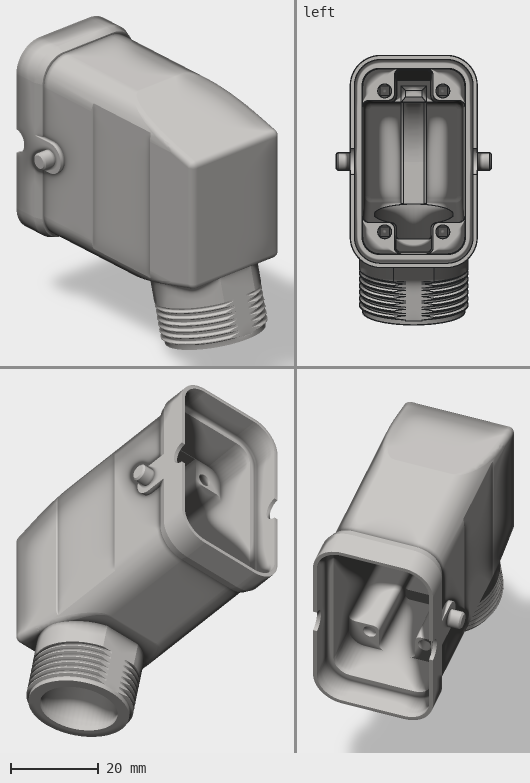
import cadquery as cq
import math


OVERLAP = 1.0

RIM_WIDTH = 29.0
RIM_HEIGHT = 48.35
RIM_CORNER = 7.0
RIM_STRAIGHT = 6.2
RIM_END = 8.2
RIM_TAPER = 0.75
RIM_WALL = 0.95
RIM_POCKET_DEPTH = 6.4
RIM_POCKET_FILLET = 0.4

BODY_WIDTH = 26.6
BODY_HEIGHT = 45.95
BODY_CORNER = 6.5
BODY_END = 59.5
SLOPE_START = 33.45
SLOPE_ANGLE = math.radians(15)
SLOPE = math.tan(SLOPE_ANGLE)
EDGE_FILLET = 1.5
PANEL_START = 24.6
PANEL_END = 44.9
PANEL_DEPTH = 0.35

PIN_X = 11.45
PIN_DIAMETER = 4.05
PIN_SPAN = 35.4
PIN_CHAMFER = 0.4
BOSS_RADIUS = 3.85
NOTCH_RADIUS = 3.0
NOTCH_X = -0.3

NECK_END_X = 52.2
NECK_END_Z = -34.265
NECK_LENGTH = 25.0
CREST_RADIUS = 12.4
ROOT_RADIUS = 11.66
NECK_FLAT = 11.5
BORE_RADIUS = 9.0
THREAD_PITCH = 1.5
THREAD_COUNT = 6
THREAD_ROOT_WIDTH = 0.5
THREAD_FLANK = 0.4
END_BAND = 0.9

LEDGE_WIDTH = 23.25
LEDGE_HEIGHT = 42.1
LEDGE_CORNER = 4.0
POST_FACE_X = 16.3
CHAMBER_HEIGHT = 27.8
CHAMBER_CORNER = 1.4
CHAMBER_END = 56.8
CHAMBER_FILLET = 1.05
CHAMBER_DRAFT = 0.9
PAD_Z = -12.05
CHANNEL_WIDTH = 8.8
CHANNEL_CORNER = 1.4
CHANNEL_DRAFT = 1.2
CHANNEL_ROOF_WALL = 2.35
CHANNEL_TOP_END = 41.5
CHANNEL_BOTTOM_END = 33.5
WINDOW_FLOOR_Z = -17.7
WINDOW_CORNER = 0.7
POST_ROUNDING = 1.4

HOLE_Y = 6.63
HOLE_Z = 16.05
HOLE_DIAMETER = 3.16
HOLE_SQUARE = 2.17
HOLE_DEPTH = 10.0
HOLE_SQUARE_DEPTH = 2.0

RIB_WIDTH = 5.75
RIB_FRONT_X = 55.0
RIB_ARC_Z = -0.2
RIB_TOP_Z = 13.4
RIB_CHAMFER = 0.55
HOOK_TOP_Z = 17.15
HOOK_REACH = 1.0
HOOK_BEVEL = 1.0
HOOK_TIP_RISE = 1.3


def rounded_bar(width, height, corner, start, end, taper=0):
    """Bar along X with a rounded rectangular section, optionally narrowing towards +X."""
    section = cq.Sketch().rect(width, height).vertices().fillet(corner)
    return cq.Workplane("YZ", origin=(start, 0, 0)).placeSketch(section).extrude(end - start, taper=taper)


def box(x_range, y_range, z_range):
    """Axis-aligned block given by its limits."""
    limits = (x_range, y_range, z_range)
    size = [high - low for low, high in limits]
    return cq.Workplane("XY").box(*size, centered=False).translate([low for low, _ in limits])


def prism(points, width):
    """Prism of an XZ outline, centred on Y = 0."""
    return cq.Workplane("XZ").polyline(points).close().extrude(width / 2, both=True)


def slope_z(x):
    """Height of the sloping roof of the body at x."""
    return BODY_HEIGHT / 2 - (x - SLOPE_START) * SLOPE


def pad_x(z):
    """X at which the sloped pad of the chamber floor has the given height."""
    axis_x = NECK_END_X - (PAD_Z - NECK_END_Z) * SLOPE
    return axis_x + (z - PAD_Z) / SLOPE


def pad_z(x):
    """Height at x of the sloped pad of the chamber floor, which is square to the neck axis."""
    return PAD_Z + (x - pad_x(PAD_Z)) * SLOPE


def neck_plane():
    """Plane at the neck's open end, normal pointing up the neck axis into the body."""
    return cq.Plane(
        origin=(NECK_END_X, 0, NECK_END_Z),
        xDir=(math.cos(SLOPE_ANGLE), 0, math.sin(SLOPE_ANGLE)),
        normal=(-math.sin(SLOPE_ANGLE), 0, math.cos(SLOPE_ANGLE)),
    )


def make_rim():
    rim = rounded_bar(RIM_WIDTH, RIM_HEIGHT, RIM_CORNER, 0, RIM_END)
    return rim.faces(">X").chamfer(RIM_END - RIM_STRAIGHT, RIM_TAPER)


def make_body():
    body = rounded_bar(BODY_WIDTH, BODY_HEIGHT, BODY_CORNER, 0, BODY_END)
    outline = [
        (0, -BODY_HEIGHT / 2),
        (SLOPE_START, -BODY_HEIGHT / 2),
        (BODY_END, -slope_z(BODY_END)),
        (BODY_END, slope_z(BODY_END)),
        (SLOPE_START, BODY_HEIGHT / 2),
        (0, BODY_HEIGHT / 2),
    ]
    body = body.intersect(prism(outline, BODY_WIDTH + 2 * OVERLAP))
    edges = body.faces(">X").edges()
    for z_side in (-1, 1):
        normal = cq.Vector(math.sin(SLOPE_ANGLE), 0, z_side * math.cos(SLOPE_ANGLE))
        slope_face = body.faces(cq.selectors.DirectionMinMaxSelector(normal, True))
        edges = edges.add(slope_face.edges())
    return edges.fillet(EDGE_FILLET)


def make_panel(side):
    """Shallow label recess with 45 degree ends on one side of the body."""
    face_y = BODY_WIDTH / 2
    outline = [
        (PANEL_START, side * face_y),
        (PANEL_START + PANEL_DEPTH, side * (face_y - PANEL_DEPTH)),
        (PANEL_END - PANEL_DEPTH, side * (face_y - PANEL_DEPTH)),
        (PANEL_END, side * face_y),
    ]
    return cq.Workplane("XY").polyline(outline).close().extrude(BODY_HEIGHT, both=True)


def make_bosses():
    """Round-ended bosses flush with the rim, carrying the locking pins."""
    boss = cq.Workplane("XZ").center(PIN_X, 0).circle(BOSS_RADIUS).extrude(RIM_WIDTH / 2, both=True)
    arm = box((RIM_STRAIGHT, PIN_X), (-RIM_WIDTH / 2, RIM_WIDTH / 2), (-BOSS_RADIUS, BOSS_RADIUS))
    pins = cq.Workplane("XZ").center(PIN_X, 0).circle(PIN_DIAMETER / 2).extrude(PIN_SPAN / 2, both=True)
    pins = pins.faces("<Y or >Y").chamfer(PIN_CHAMFER)
    return boss.union(arm).union(pins)


def neck_disc(radius, start, end):
    """Cylinder on the neck axis between two distances from the neck's open end."""
    return cq.Workplane(neck_plane()).workplane(offset=start).circle(radius).extrude(end - start)


def make_neck():
    """Cable neck with two flats, thread rings and a round end band at root size."""
    flats = cq.Workplane(neck_plane()).rect(2 * NECK_FLAT, 2 * CREST_RADIUS).extrude(NECK_LENGTH)
    thread_end = END_BAND + THREAD_PITCH * THREAD_COUNT + THREAD_ROOT_WIDTH / 2
    thread = neck_disc(CREST_RADIUS, END_BAND, thread_end).intersect(flats)
    for ring in range(THREAD_COUNT + 1):
        thread = thread.cut(make_thread_groove(END_BAND + THREAD_PITCH * ring))
    collar = neck_disc(CREST_RADIUS, thread_end, NECK_LENGTH).intersect(flats)
    return collar.union(thread).union(neck_disc(ROOT_RADIUS, 0, END_BAND))


def make_thread_groove(middle):
    """Trapezoidal ring groove whose middle lies at the given distance from the neck end."""
    root_half = THREAD_ROOT_WIDTH / 2
    crest_half = root_half + THREAD_FLANK
    outline = [
        (ROOT_RADIUS, middle - root_half),
        (CREST_RADIUS, middle - crest_half),
        (CREST_RADIUS + OVERLAP, middle - crest_half),
        (CREST_RADIUS + OVERLAP, middle + crest_half),
        (CREST_RADIUS, middle + crest_half),
        (ROOT_RADIUS, middle + root_half),
    ]
    plane = neck_plane()
    side = cq.Plane(origin=plane.origin, xDir=plane.xDir, normal=-plane.yDir)
    return cq.Workplane(side).polyline(outline).close().revolve(360, (0, 0), (0, 1))


def make_rim_pocket():
    pocket = rounded_bar(
        RIM_WIDTH - 2 * RIM_WALL,
        RIM_HEIGHT - 2 * RIM_WALL,
        RIM_CORNER - RIM_WALL,
        0,
        RIM_POCKET_DEPTH,
    )
    return pocket.faces(">X").edges().fillet(RIM_POCKET_FILLET)


def make_ledge_opening():
    """Drafted opening from the rim ledge to the post faces."""
    length = POST_FACE_X - RIM_POCKET_DEPTH
    widening = length * math.tan(math.radians(CHAMBER_DRAFT))
    return rounded_bar(
        LEDGE_WIDTH + 2 * widening,
        LEDGE_HEIGHT + 2 * widening,
        LEDGE_CORNER,
        RIM_POCKET_DEPTH,
        POST_FACE_X,
        CHAMBER_DRAFT,
    )


def make_chamber():
    """Main chamber: drafted, with a level floor that rises in a pad square to the neck."""
    floor_z = -CHAMBER_HEIGHT / 2
    chamber = (
        cq.Workplane("YZ", origin=(POST_FACE_X, 0, floor_z / 2))
        .rect(LEDGE_WIDTH, CHAMBER_HEIGHT - floor_z)
        .extrude(CHAMBER_END - POST_FACE_X, taper=CHAMBER_DRAFT)
    )
    above_floor = [
        (POST_FACE_X, floor_z),
        (pad_x(floor_z), floor_z),
        (CHAMBER_END, pad_z(CHAMBER_END)),
        (CHAMBER_END, BODY_HEIGHT),
        (POST_FACE_X, BODY_HEIGHT),
    ]
    chamber = chamber.intersect(prism(above_floor, BODY_WIDTH))
    chamber = chamber.edges("not (|Y or |Z)").fillet(CHAMBER_CORNER)
    return chamber.faces(">X").edges().fillet(CHAMBER_FILLET)


def make_channel():
    """Channel between the posts; its shallower far part opens into the neck bore."""
    channel = rounded_bar(
        CHANNEL_WIDTH, LEDGE_HEIGHT, CHANNEL_CORNER, POST_FACE_X, CHANNEL_TOP_END, CHANNEL_DRAFT
    )
    outline = [
        (0, LEDGE_HEIGHT / 2),
        (SLOPE_START, slope_z(SLOPE_START) - CHANNEL_ROOF_WALL),
        (CHANNEL_TOP_END, slope_z(CHANNEL_TOP_END) - CHANNEL_ROOF_WALL),
        (CHANNEL_TOP_END, WINDOW_FLOOR_Z),
        (CHANNEL_BOTTOM_END, WINDOW_FLOOR_Z),
        (CHANNEL_BOTTOM_END, -LEDGE_HEIGHT / 2),
        (0, -LEDGE_HEIGHT / 2),
    ]
    channel = channel.intersect(prism(outline, CHANNEL_WIDTH))
    window_edges = cq.selectors.BoxSelector(
        (CHANNEL_BOTTOM_END + OVERLAP, -CHANNEL_WIDTH, WINDOW_FLOOR_Z - OVERLAP),
        (CHANNEL_TOP_END - OVERLAP, CHANNEL_WIDTH, WINDOW_FLOOR_Z + OVERLAP),
    )
    return channel.edges(window_edges).edges("not |Y").fillet(WINDOW_CORNER)


def make_post_space():
    """Chamber and channel together, with the post corners between them rounded."""
    space = make_chamber().union(make_channel())
    for z_side in (-1, 1):
        for y_side in (-1, 1):
            corner_y = y_side * CHANNEL_WIDTH / 2
            corner_z = z_side * CHAMBER_HEIGHT / 2
            corner = cq.selectors.BoxSelector(
                (POST_FACE_X + OVERLAP, corner_y - OVERLAP, corner_z - OVERLAP),
                (CHANNEL_TOP_END, corner_y + OVERLAP, corner_z + OVERLAP),
            )
            space = space.edges(corner).edges("not (|Y or |Z)").fillet(POST_ROUNDING)
    return space


def make_screw_hole(y, z):
    """Round hole with a square continuation."""
    mouth = cq.Workplane("YZ", origin=(POST_FACE_X, y, z))
    round_part = mouth.circle(HOLE_DIAMETER / 2).extrude(HOLE_DEPTH)
    square_part = mouth.rect(HOLE_SQUARE, HOLE_SQUARE).extrude(HOLE_DEPTH + HOLE_SQUARE_DEPTH)
    return round_part.union(square_part)


def make_cavity():
    cavity = make_rim_pocket().union(make_ledge_opening()).union(make_post_space())
    for y_side in (-1, 1):
        for z_side in (-1, 1):
            cavity = cavity.union(make_screw_hole(y_side * HOLE_Y, z_side * HOLE_Z))
    return cavity


def make_rib():
    """Rib on the chamber's end wall with a quarter-round face that turns the cable down."""
    arc_radius = RIB_TOP_Z - RIB_ARC_Z
    arc_x = RIB_FRONT_X - arc_radius
    arc_mid = arc_radius * math.sqrt(0.5)
    back_x = CHAMBER_END + OVERLAP
    rib = (
        cq.Workplane("XZ")
        .moveTo(RIB_FRONT_X, pad_z(RIB_FRONT_X))
        .lineTo(RIB_FRONT_X, RIB_ARC_Z)
        .threePointArc((arc_x + arc_mid, RIB_ARC_Z + arc_mid), (arc_x, RIB_TOP_Z))
        .lineTo(back_x, RIB_TOP_Z)
        .lineTo(back_x, pad_z(back_x))
        .close()
        .extrude(RIB_WIDTH / 2, both=True)
    )
    flat_edges = cq.selectors.BoxSelector(
        (RIB_FRONT_X - OVERLAP / 2, -RIB_WIDTH, pad_z(RIB_FRONT_X)),
        (RIB_FRONT_X + OVERLAP / 2, RIB_WIDTH, RIB_ARC_Z - OVERLAP),
    )
    front_edges = rib.edges(flat_edges).edges("|Z").add(rib.edges("%CIRCLE"))
    return front_edges.chamfer(RIB_CHAMFER)


def make_hook():
    """Bevelled block above the rib on the end wall of the channel."""
    tip_width = RIB_WIDTH - 2 * HOOK_BEVEL
    tip_low = RIB_TOP_Z + HOOK_TIP_RISE
    tip_high = HOOK_TOP_Z - HOOK_BEVEL
    return (
        cq.Workplane("YZ", origin=(CHANNEL_TOP_END, 0, 0))
        .center(0, (RIB_TOP_Z + HOOK_TOP_Z) / 2)
        .rect(RIB_WIDTH, HOOK_TOP_Z - RIB_TOP_Z)
        .workplane(offset=-HOOK_REACH)
        .center(0, (tip_low + tip_high - RIB_TOP_Z - HOOK_TOP_Z) / 2)
        .rect(tip_width, tip_high - tip_low)
        .loft()
    )


def make_bore():
    """Bore through the neck, ending at the sloped chamber floor."""
    depth = (PAD_Z - NECK_END_Z) / math.cos(SLOPE_ANGLE)
    return cq.Workplane(neck_plane()).circle(BORE_RADIUS).extrude(depth)


def make_notch():
    """Round notch across the rim edge on both sides."""
    return cq.Workplane("XZ").center(NOTCH_X, 0).circle(NOTCH_RADIUS).extrude(RIM_WIDTH, both=True)


result = make_body()
for side in (-1, 1):
    result = result.cut(make_panel(side))
result = result.union(make_rim()).union(make_bosses()).union(make_neck())
result = result.cut(make_cavity())
result = result.union(make_rib()).union(make_hook())
result = result.cut(make_bore()).cut(make_notch())